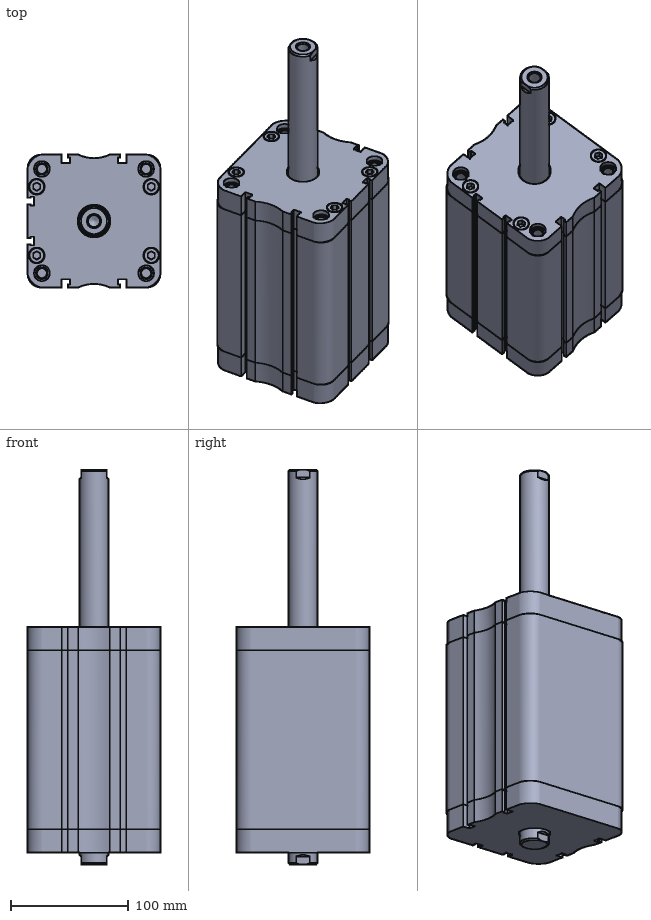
import cadquery as cq
import math


WIDTH = 113.5
HOUSING_HEIGHT = 192.8
CAP_HEIGHT = 20.2
CORNER_INSET = 12.0
BARREL_CORNER_RADIUS = CORNER_INSET
CAP_CORNER_RADIUS = 14.8

HOLLOW_WIDTH = 27.0
HOLLOW_DEPTH = 3.0

LIP = 2.7
Y_SLOT_OPENING = (22.2, 27.5)
Y_SLOT_UNDERCUT = (20.5, 27.5)
Y_SLOT_DEPTH = 7.0
X_SLOT_OPENING = (14.5, 20.0)
X_SLOT_UNDERCUT = (13.5, 20.5)
X_SLOT_DEPTH = 5.5

ROD_DIAMETER = 25.0
ROD_TOP_LENGTH = 134.0
ROD_BOTTOM_LENGTH = 10.0
ROD_CHAMFER = 1.5
ROD_FLATS = 22.0
FLAT_LENGTH = 6.7
ROD_HOLE_DIAMETER = 10.0
ROD_HOLE_MOUTH = 12.0
ROD_HOLE_DEPTH = 20.2
DRILL_POINT_ANGLE = 118
ROD_BORE_DIAMETER = 27.0
ROD_BORE_MOUTH = 28.0

MOUNT_OFFSET = 44.5
MOUNT_RECESS_DIAMETER = 13.5
MOUNT_RECESS_DEPTH = 4.5
MOUNT_HOLE_DIAMETER = 8.5
MOUNT_HOLE_MOUTH = 10.0
MOUNT_HOLE_DEPTH = 17.0

SCREW_X = 49.0
SCREW_Y = 29.3
SCREW_DIAMETER = 13.0
SCREW_POCKET_DIAMETER = 13.5
SCREW_HEIGHT = 10.0
SCREW_CHAMFER = 0.5
SOCKET_FLATS = 6.0
SOCKET_DEPTH = 5.0

HALF = WIDTH / 2
FRONT_CAP_BASE = HOUSING_HEIGHT - CAP_HEIGHT
BARREL_HEIGHT = HOUSING_HEIGHT - 2 * CAP_HEIGHT
ROD_BOTTOM = -ROD_BOTTOM_LENGTH
ROD_TOP = HOUSING_HEIGHT + ROD_TOP_LENGTH


def box(x_range, y_range, base, height):
    """Upright block between two X limits and two Y limits, given in any order."""
    x0, x1 = x_range
    y0, y1 = y_range
    block = cq.Workplane("XY").rect(abs(x1 - x0), abs(y1 - y0)).extrude(height)
    return block.translate(((x0 + x1) / 2, (y0 + y1) / 2, base))


def cylinder(diameter, base, height):
    return cq.Workplane("XY").workplane(offset=base).circle(diameter / 2).extrude(height)


def rounded_square(corner_radius, base, height):
    """Square prism whose corner arcs all span CORNER_INSET, whatever their radius."""
    straight = HALF - CORNER_INSET
    half_chord = CORNER_INSET / math.sqrt(2)
    sagitta = corner_radius - math.sqrt(corner_radius**2 - half_chord**2)
    corner_mid = HALF - CORNER_INSET / 2 + sagitta / math.sqrt(2)
    return (
        cq.Workplane("XY")
        .workplane(offset=base)
        .moveTo(-straight, -HALF)
        .lineTo(straight, -HALF)
        .threePointArc((corner_mid, -corner_mid), (HALF, -straight))
        .lineTo(HALF, straight)
        .threePointArc((corner_mid, corner_mid), (straight, HALF))
        .lineTo(-straight, HALF)
        .threePointArc((-corner_mid, corner_mid), (-HALF, straight))
        .lineTo(-HALF, -straight)
        .threePointArc((-corner_mid, -corner_mid), (-straight, -HALF))
        .close()
        .extrude(height)
    )


def profile_section(corner_radius, base, height):
    """Length of the housing profile with its side hollows and sensor slots."""
    section = rounded_square(corner_radius, base, height)
    hollow_radius = (HOLLOW_WIDTH**2 / 4 + HOLLOW_DEPTH**2) / (2 * HOLLOW_DEPTH)
    hollow_center = HALF - HOLLOW_DEPTH + hollow_radius
    for side in (-1, 1):
        hollow = cylinder(2 * hollow_radius, base, height)
        section = section.cut(hollow.translate((0, side * hollow_center, 0)))

        outer, lip, floor = [side * (HALF - depth) for depth in (0, LIP, Y_SLOT_DEPTH)]
        for hand in (-1, 1):
            opening = [hand * x for x in Y_SLOT_OPENING]
            undercut = [hand * x for x in Y_SLOT_UNDERCUT]
            section = section.cut(box(opening, (outer, floor), base, height))
            section = section.cut(box(undercut, (lip, floor), base, height))

        opening = [side * y for y in X_SLOT_OPENING]
        undercut = [side * y for y in X_SLOT_UNDERCUT]
        slot_floor = X_SLOT_DEPTH - HALF
        section = section.cut(box((-HALF, slot_floor), opening, base, height))
        section = section.cut(box((LIP - HALF, slot_floor), undercut, base, height))
    return section


def mouthed_hole(diameter, mouth, top, depth):
    """Cutter for a blind hole with a 45 degree countersunk mouth."""
    flare = (mouth - diameter) / 2
    return (
        cq.Workplane("XZ")
        .moveTo(0, top)
        .lineTo(mouth / 2, top)
        .lineTo(diameter / 2, top - flare)
        .lineTo(diameter / 2, top - depth)
        .lineTo(0, top - depth)
        .close()
        .revolve(360, (0, 0, 0), (0, 1, 0))
    )


def rod_hole():
    radius = ROD_HOLE_DIAMETER / 2
    point_length = radius / math.tan(math.radians(DRILL_POINT_ANGLE / 2))
    floor = ROD_TOP - ROD_HOLE_DEPTH
    point = cq.Solid.makeCone(0, radius, point_length, cq.Vector(0, 0, floor - point_length))
    hole = mouthed_hole(ROD_HOLE_DIAMETER, ROD_HOLE_MOUTH, ROD_TOP, ROD_HOLE_DEPTH)
    return hole.union(cq.Workplane(point))


def flat_cutter(end, inward):
    """Cutter for the +X spanner flat at a rod end, running out at 45 degrees."""
    depth = (ROD_DIAMETER - ROD_FLATS) / 2
    flat = ROD_FLATS / 2
    surface = ROD_DIAMETER / 2
    return (
        cq.Workplane("XZ")
        .moveTo(flat, end)
        .lineTo(flat, end + inward * FLAT_LENGTH)
        .lineTo(surface, end + inward * (FLAT_LENGTH + depth))
        .lineTo(surface, end)
        .close()
        .extrude(ROD_DIAMETER / 2, both=True)
    )


def make_rod():
    rod = cylinder(ROD_DIAMETER, ROD_BOTTOM, ROD_TOP - ROD_BOTTOM)
    rod = rod.faces("<Z or >Z").chamfer(ROD_CHAMFER)
    for end, inward in ((ROD_TOP, -1), (ROD_BOTTOM, 1)):
        cutter = flat_cutter(end, inward)
        rod = rod.cut(cutter).cut(cutter.mirror("YZ"))
    return rod.cut(rod_hole())


def make_barrel():
    """Barrel and through rod as one solid."""
    return profile_section(BARREL_CORNER_RADIUS, CAP_HEIGHT, BARREL_HEIGHT).union(make_rod())


def make_cap(base):
    """End cap with clearance around the rod."""
    cap = profile_section(CAP_CORNER_RADIUS, base, CAP_HEIGHT)
    return cap.cut(cylinder(ROD_BORE_DIAMETER, base, CAP_HEIGHT))


def make_rear_cap():
    return make_cap(0)


def make_front_cap():
    cap = make_cap(FRONT_CAP_BASE)
    cap = cap.cut(mouthed_hole(ROD_BORE_DIAMETER, ROD_BORE_MOUTH, HOUSING_HEIGHT, CAP_HEIGHT))

    recess_floor = HOUSING_HEIGHT - MOUNT_RECESS_DEPTH
    recess = cylinder(MOUNT_RECESS_DIAMETER, recess_floor, MOUNT_RECESS_DEPTH)
    hole_depth = MOUNT_HOLE_DEPTH - MOUNT_RECESS_DEPTH
    hole = mouthed_hole(MOUNT_HOLE_DIAMETER, MOUNT_HOLE_MOUTH, recess_floor, hole_depth)
    mount = recess.union(hole)
    pocket = cylinder(SCREW_POCKET_DIAMETER, HOUSING_HEIGHT - SCREW_HEIGHT, SCREW_HEIGHT)
    for sx in (-1, 1):
        for sy in (-1, 1):
            cap = cap.cut(mount.translate((sx * MOUNT_OFFSET, sy * MOUNT_OFFSET, 0)))
            cap = cap.cut(pocket.translate((sx * SCREW_X, sy * SCREW_Y, 0)))
    return cap


def make_screw(x, y):
    """Flush screw with a hexagon socket, corners pointing along Y."""
    screw = cylinder(SCREW_DIAMETER, HOUSING_HEIGHT - SCREW_HEIGHT, SCREW_HEIGHT)
    screw = screw.faces(">Z").chamfer(SCREW_CHAMFER)
    corner_diameter = SOCKET_FLATS / math.cos(math.radians(30))
    socket = (
        cq.Workplane("XY")
        .workplane(offset=HOUSING_HEIGHT - SOCKET_DEPTH)
        .transformed(rotate=(0, 0, 30))
        .polygon(6, corner_diameter)
        .extrude(SOCKET_DEPTH)
    )
    return screw.cut(socket).translate((x, y, 0))


barrel = make_barrel()
rear_cap = make_rear_cap()
front_cap = make_front_cap()
screws = [make_screw(sx * SCREW_X, sy * SCREW_Y) for sx in (-1, 1) for sy in (-1, 1)]

result = cq.Compound.makeCompound(
    [barrel.val(), rear_cap.val(), front_cap.val(), *[screw.val() for screw in screws]]
)